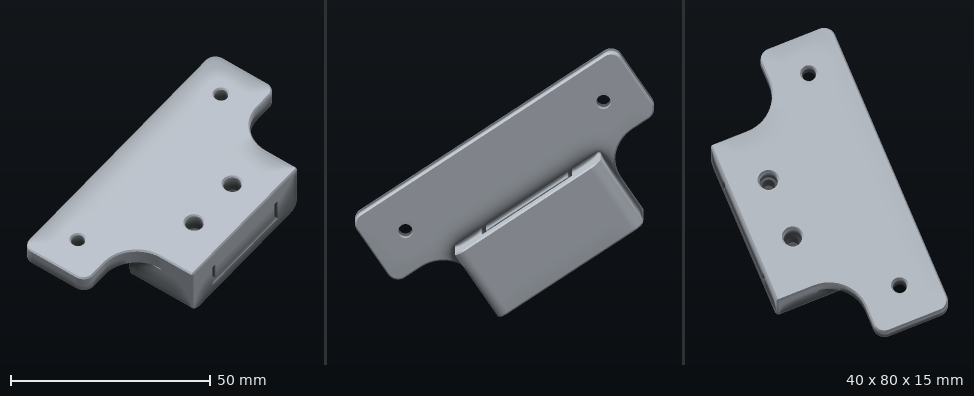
import cadquery as cq

plate_length = 80.0
total_width = 40.0
total_height = 15.0
plate_thickness = 5.0
arm_width = total_width / 2
corner_radius = 3.0
edge_chamfer = 0.4
plate_bottom = total_height - plate_thickness

block_length = 44.2
block_half = block_length / 2
relief_radius = 10.0
slot_length = 27.4
slot_floor = 3.4
core_length = 24.8
core_bottom = 4.8

arm_hole_diameter = 3.6
arm_hole_x = arm_width / 2
arm_hole_y = 30.0
core_hole_diameter = 3.4
counterbore_diameter = 4.7
counterbore_depth = plate_thickness
core_hole_x = (arm_width + total_width) / 2
core_hole_y = 8.0


def make_plate():
    """T-shaped plate with rounded arm ends and concave shoulders."""
    relief_x = arm_width + relief_radius
    relief_y = block_half + relief_radius
    half_length = plate_length / 2
    plate = (
        cq.Workplane("XY", origin=(0, 0, plate_bottom))
        .moveTo(0, -half_length)
        .lineTo(arm_width, -half_length)
        .lineTo(arm_width, -relief_y)
        .radiusArc((relief_x, -block_half), relief_radius)
        .lineTo(total_width, -block_half)
        .lineTo(total_width, block_half)
        .lineTo(relief_x, block_half)
        .radiusArc((arm_width, relief_y), relief_radius)
        .lineTo(arm_width, half_length)
        .lineTo(0, half_length)
        .close()
        .extrude(plate_thickness)
    )
    arm_ends = plate.faces("<Y or >Y").edges("|Z").fillet(corner_radius)
    return arm_ends.faces("<Z").chamfer(edge_chamfer)


def make_block():
    """Block with rounded lower corners, reaching up through the plate."""
    block = cq.Workplane("XY").box(
        total_width - arm_width, block_length, total_height, centered=(False, True, False)
    )
    block = block.translate((arm_width, 0, 0))
    block = block.faces("<Z").edges("|X").fillet(corner_radius)
    block = block.faces("<X").edges("not >Z").chamfer(edge_chamfer)
    relief_zone = cq.Workplane("XY", origin=(arm_width, 0, plate_bottom)).box(
        relief_radius, block_length, plate_thickness, centered=(False, True, False)
    )
    return block.cut(relief_zone)


def cut_slot(body):
    """Channel along X that leaves a core hanging below the plate."""
    channel = cq.Workplane("XY", origin=(arm_width, 0, slot_floor)).box(
        arm_width, slot_length, plate_bottom - slot_floor, centered=(False, True, False)
    )
    core = cq.Workplane("XY", origin=(arm_width, 0, core_bottom)).box(
        arm_width, core_length, plate_bottom - core_bottom, centered=(False, True, False)
    )
    return body.cut(channel.cut(core))


def hole_tool(x, y, diameter, depth):
    """Vertical drill from the top with a chamfered mouth."""
    top = cq.Workplane("XY", origin=(x, y, total_height))
    drill = top.circle(diameter / 2).extrude(-depth)
    mouth = top.circle(diameter / 2 + edge_chamfer).extrude(-edge_chamfer, taper=45)
    return drill.union(mouth)


def core_hole_tool(y):
    """Counterbored hole through the core, open to the slot."""
    counterbore = hole_tool(core_hole_x, y, counterbore_diameter, counterbore_depth)
    drill_depth = total_height - core_bottom
    drill = (
        cq.Workplane("XY", origin=(core_hole_x, y, core_bottom))
        .circle(core_hole_diameter / 2)
        .extrude(drill_depth)
    )
    return counterbore.union(drill)


def conical_seat(y):
    """45 degree seat that joins a counterbore to its through hole."""
    seat_depth = (counterbore_diameter - core_hole_diameter) / 2
    return (
        cq.Workplane("XY", origin=(core_hole_x, y, total_height - counterbore_depth))
        .circle(counterbore_diameter / 2)
        .extrude(-seat_depth, taper=45)
    )


body = make_plate().union(make_block()).clean()
body = body.faces(">Z or >X").edges().chamfer(edge_chamfer)
body = cut_slot(body)

for side in (-1, 1):
    body = body.cut(hole_tool(arm_hole_x, side * arm_hole_y, arm_hole_diameter, plate_thickness))
    body = body.cut(core_hole_tool(side * core_hole_y))

result = body.cut(conical_seat(core_hole_y))